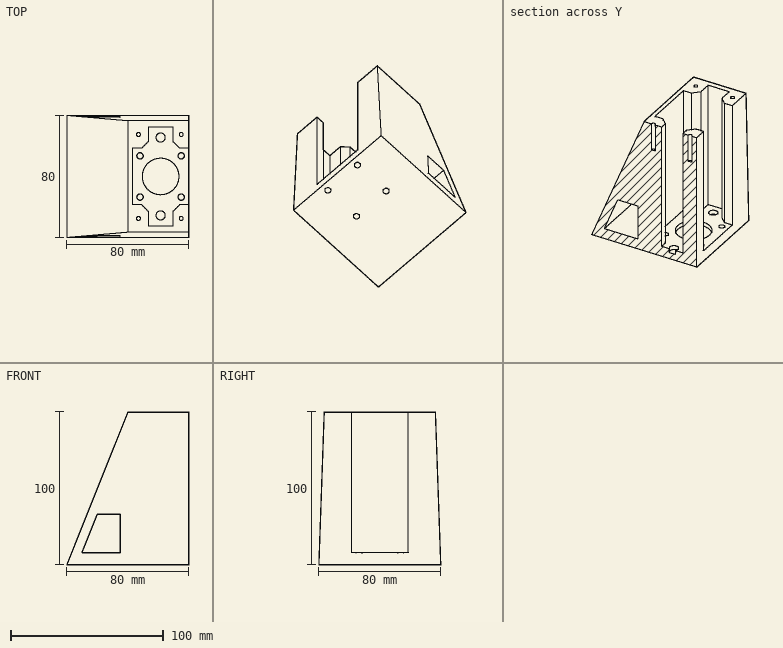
import cadquery as cq

height = 100.0
base_length = 80.0
base_width = 80.0
top_length = 40.0
top_width = 73.0
rear_x = base_length / 2
front_slope = (base_length - top_length) / height

floor_z = 8.0
bay_front_x = 3.0
bay_center_x = (bay_front_x + rear_x) / 2
bay_length = rear_x - bay_front_x
bay_width = 37.0
bay_end_length = 16.0
bay_end_width = 65.0
bay_corner_chamfer = 4.5

mount_hole_diameter = 4.0
mount_hole_spacing = 27.0
center_recess_diameter = 24.0
end_recess_diameter = 6.0
end_recess_spacing = 51.0
recess_depth = 3.0

screw_hole_diameter = 2.6
screw_hole_depth = 20.0
screw_center_x = 21.0
screw_spacing_x = 28.0
screw_spacing_y = 55.0

window_height = 25.0
window_rear_x = -5.0
window_length = 25.0


def make_body():
    """Loft from the base rectangle to the smaller top rectangle, flush at the rear."""
    top_shift = (base_length - top_length) / 2
    return (
        cq.Workplane("XY")
        .rect(base_length, base_width)
        .workplane(offset=height)
        .center(top_shift, 0)
        .rect(top_length, top_width)
        .loft(ruled=True)
    )


def make_bay():
    """Upright prism: a wide middle open at the rear, with a narrower chamfered end on each side."""
    depth = height - floor_z
    floor = cq.Workplane("XY", origin=(bay_center_x, 0, floor_z))
    middle = floor.rect(bay_length, bay_width).extrude(depth)
    half_middle = bay_width / 2
    half_end = bay_end_length / 2
    side_profile = [
        (half_end + bay_corner_chamfer, half_middle),
        (half_end, half_middle + bay_corner_chamfer),
        (half_end, bay_end_width / 2),
    ]
    outline = (
        side_profile
        + [(-x, y) for x, y in reversed(side_profile)]
        + [(-x, -y) for x, y in side_profile]
        + [(x, -y) for x, y in reversed(side_profile)]
    )
    ends = floor.polyline(outline).close().extrude(depth)
    return middle.union(ends)


def make_window():
    """Prism across the full width, resting at floor level."""
    front_x = window_rear_x - window_length
    top_z = floor_z + window_height
    return (
        cq.Workplane("XZ")
        .moveTo(front_x, floor_z)
        .lineTo(window_rear_x, floor_z)
        .lineTo(window_rear_x, top_z)
        .lineTo(front_x + front_slope * window_height, top_z)
        .close()
        .extrude(base_width / 2, both=True)
    )


def holes_down(center_x, spacing_x, spacing_y, diameter, top_z, depth):
    """Grid of two by two cylinders reaching down from top_z."""
    return (
        cq.Workplane("XY", origin=(center_x, 0, top_z))
        .rect(spacing_x, spacing_y, forConstruction=True)
        .vertices()
        .circle(diameter / 2)
        .extrude(-depth)
    )


def make_floor_recesses():
    """Shallow round recesses: a large one in the middle and a small one near each end."""
    floor = cq.Workplane("XY", origin=(bay_center_x, 0, floor_z))
    center = floor.circle(center_recess_diameter / 2).extrude(-recess_depth)
    end_points = [(0, -end_recess_spacing / 2), (0, end_recess_spacing / 2)]
    ends = floor.pushPoints(end_points).circle(end_recess_diameter / 2).extrude(-recess_depth)
    return center.union(ends)


mount_holes = holes_down(
    bay_center_x, mount_hole_spacing, mount_hole_spacing, mount_hole_diameter, floor_z, floor_z
)
screw_holes = holes_down(
    screw_center_x, screw_spacing_x, screw_spacing_y, screw_hole_diameter, height, screw_hole_depth
)

result = (
    make_body()
    .cut(make_bay())
    .cut(make_window())
    .cut(mount_holes)
    .cut(make_floor_recesses())
    .cut(screw_holes)
)